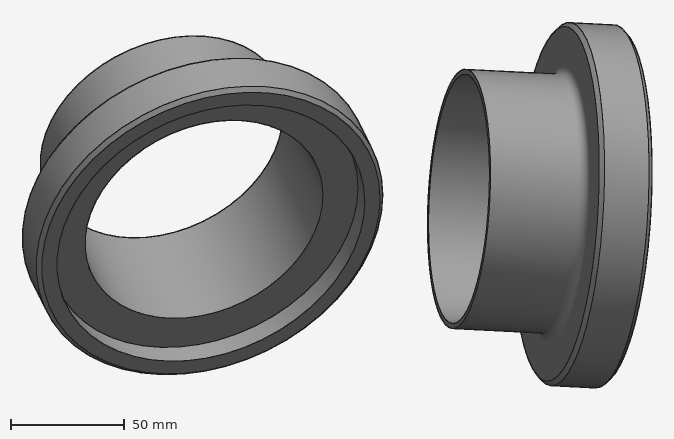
import cadquery as cq

total_length = 68.0
flange_diameter = 160.0
flange_thickness = 24.0
flange_chamfer = 2.0
neck_diameter = 114.2
bore_diameter = 109.8
neck_fillet = 4.0
recess_diameter = 142.0
recess_depth = 10.0

neck_length = total_length - flange_thickness


def cylinder_along_x(start, length, diameter):
    """Solid cylinder on the X axis, extending toward +X from start."""
    return cq.Workplane("YZ", origin=(start, 0, 0)).circle(diameter / 2).extrude(length)


flange = cylinder_along_x(neck_length, flange_thickness, flange_diameter).edges().chamfer(flange_chamfer)

neck = cylinder_along_x(0, neck_length, neck_diameter)
body = flange.union(neck)
body = body.edges(cq.selectors.NearestToPointSelector((neck_length, 0, 0))).fillet(neck_fillet)

bore = cylinder_along_x(0, total_length, bore_diameter)
recess = cylinder_along_x(total_length - recess_depth, recess_depth, recess_diameter)
result = body.cut(bore).cut(recess)